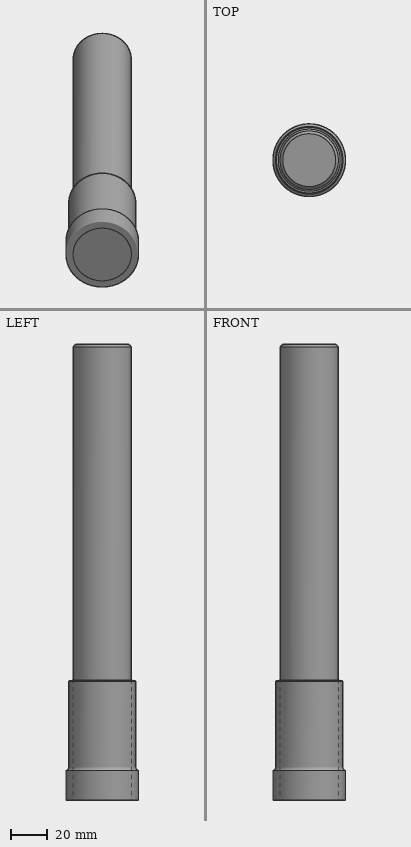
import cadquery as cq
import math

TOTAL_HEIGHT = 250.0

ROD_DIAMETER = 32.0
ROD_END_CHAMFER = 1.5

SLEEVE_DIAMETER = 37.0
SLEEVE_TOP = 65.5
SLEEVE_TOP_CHAMFER = 0.5
LIP_WIDTH = 1.0
LIP_HEIGHT = 0.5

COLLAR_DIAMETER = 40.0
COLLAR_HEIGHT = 16.2
COVE_RADIUS = 2.0
COLLAR_FOOT_FILLET = 0.5

ROD_RADIUS = ROD_DIAMETER / 2
SLEEVE_RADIUS = SLEEVE_DIAMETER / 2
COLLAR_RADIUS = COLLAR_DIAMETER / 2
COLLAR_STEP = COLLAR_RADIUS - SLEEVE_RADIUS
COVE_HEIGHT = math.sqrt(COVE_RADIUS**2 - (COVE_RADIUS - COLLAR_STEP) ** 2)


def make_rod():
    """Plain round rod, standing on the base plane, with a chamfered upper end."""
    rod = cq.Workplane("XY").circle(ROD_RADIUS).extrude(TOTAL_HEIGHT)
    return rod.faces(">Z").edges().chamfer(ROD_END_CHAMFER)


def make_sleeve():
    """Collared sleeve around the lower part of the rod, with a low conical lip at the top."""
    profile = (
        cq.Workplane("XZ")
        .moveTo(ROD_RADIUS, 0)
        .lineTo(COLLAR_RADIUS, 0)
        .lineTo(COLLAR_RADIUS, COLLAR_HEIGHT)
        .radiusArc((SLEEVE_RADIUS, COLLAR_HEIGHT + COVE_HEIGHT), COVE_RADIUS)
        .lineTo(SLEEVE_RADIUS, SLEEVE_TOP - SLEEVE_TOP_CHAMFER)
        .lineTo(SLEEVE_RADIUS - SLEEVE_TOP_CHAMFER, SLEEVE_TOP)
        .lineTo(ROD_RADIUS + LIP_WIDTH, SLEEVE_TOP)
        .lineTo(ROD_RADIUS, SLEEVE_TOP + LIP_HEIGHT)
        .close()
    )
    sleeve = profile.revolve(360, (0, 0, 0), (0, 1, 0))
    foot_edge = cq.selectors.RadiusNthSelector(-1)
    return sleeve.faces("<Z").edges(foot_edge).fillet(COLLAR_FOOT_FILLET)


rod = make_rod()
sleeve = make_sleeve()

result = cq.Compound.makeCompound([rod.val(), sleeve.val()])